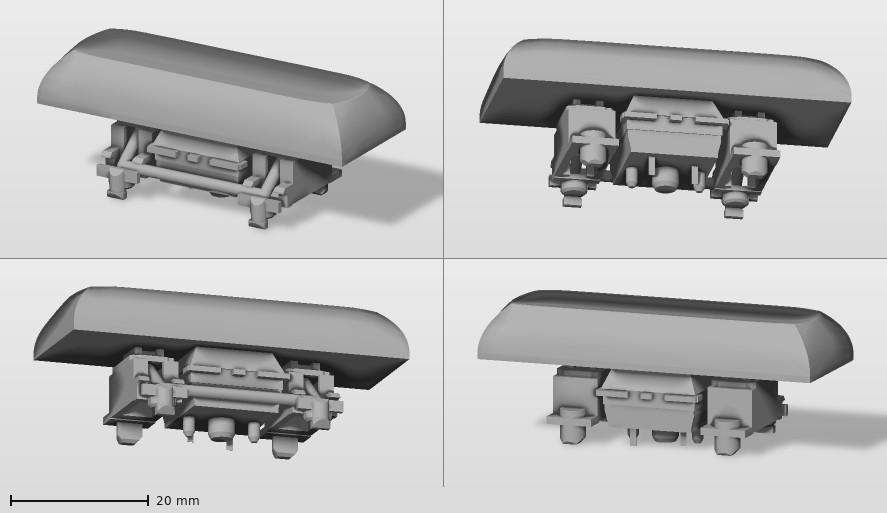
import cadquery as cq
import math


CAP_LENGTH = 51.45
CAP_WIDTH = 18.15
OVERALL_WIDTH = 20.0
RIM_HEIGHT = 1.0
CAP_HEIGHT = 7.85
DOME_HEIGHT = CAP_HEIGHT - RIM_HEIGHT
SIDE_RADIUS = 9.8
STRAIGHT_HALF = 16.65
CORNER_PULL = 1.15
DISH_SAG = 0.25
DISH_HALF_WIDTH = 5.95
TOP_EDGE_CHAMFER = 0.15
CAP_STEPS = 4

SKIRT_TOP = 11.65
SKIRT_BOTTOM = 14.6
SKIRT_DEPTH = 3.4
BODY_SIZE = 14.1
BODY_BOTTOM = -5.75
BASE_SIZE = 13.8
BASE_STRAIGHT_END = -6.7
BASE_TAPER_END = -8.55
SWITCH_BOTTOM = -9.15
BASE_FOOT_X = 12.85
BASE_FOOT_Y = 13.4
TAB_TOP = -3.55
TAB_HEIGHT = 0.75
TAB_REACH_X = 7.85
TAB_REACH_Y = 8.25
TAB_STEP_X = 7.65
TAB_STEP_Y = 7.8
CORNER_TAB_INNER_X = 2.9
CORNER_TAB_INNER_Y = 5.8
MIDDLE_TAB_WIDTH = 1.7

PIN_BOTTOM = -12.0
PIN_TIP_HEIGHT = 0.65
POST_DIAMETER = 3.85
POST_TIP_DIAMETER = 3.1
GUIDE_DIAMETER = 1.7
GUIDE_TIP_DIAMETER = 0.95
GUIDE_OFFSET = 5.0
CONTACT_WIDTH = 0.95
CONTACT_THICKNESS = 0.15
CONTACT_CENTRES = [(-3.8, 2.8), (3.05, 5.25)]

STAB_OFFSET = 11.95
HOUSING_WIDTH = 6.9
HOUSING_HALF_Y = 5.5
HOUSING_TOP = -2.45
HOUSING_BOTTOM = -9.0
SLAB_TOP = -1.65
SLAB_SIDE_Y = 3.85
SLAB_SHOULDER_X = 3.1
SLAB_SHOULDER_Y = 4.3
SLAB_STEP_X = 2.4
SLAB_NOSE_X = 2.05
SLAB_NOSE_Y = 4.65
SLIDER_WIDTH = 4.4
SLIDER_LENGTH = 5.55
SLIDER_SLOT = 2.35
BRIDGE_LENGTH = 4.1
BRIDGE_NECK_LENGTH = 2.05
BRIDGE_NECK_HEIGHT = 0.4
BRIDGE_HEIGHT = 1.25
WIRE_SLOT = 2.45
CAVITY_WIDTH = 4.55
CAVITY_FRONT = -4.75
CAVITY_BACK = 2.8
RELIEF_FRONT = -5.8
RELIEF_BACK = 4.8
RELIEF_DEPTH = 0.15

CLAW_INNER_X = 1.9
CLAW_TOP = -5.7
CLAW_TIP_Y = -8.35
CLAW_CHAMFER = 0.55

ARM_TOP = -8.25
CROSSBAR_TOP = -7.35
CROSSBAR_BACK_Y = -8.85
CROSSBAR_FRONT_Y = -9.65
TONGUE_BACK_Y = -7.55
TONGUE_BOTTOM = -10.1
TONGUE_FILLET = 0.3
FOOT_RADIUS = 1.9
FOOT_CENTRE_Y = -8.15
FOOT_BOTTOM = -10.45
FOOT_CHAMFER = 0.35

HOOK_BACK_Y = -9.05
HOOK_HALF_WIDTH = 1.25
HOOK_SIDE_Y = -9.6
HOOK_FRONT_Y = -10.5
HOOK_TOP = -7.25
HOOK_SLOPE_END = -8.15
HOOK_BOTTOM = -11.8
LIP_TOP = -10.7
LIP_HALF_WIDTH = 1.35
LIP_SIDE_Y = -10.2
LIP_FRONT_Y = CAP_WIDTH / 2 - OVERALL_WIDTH
LIP_TIP_Y = -10.0

LUG_RADIUS = 1.9
LUG_CENTRE_Y = 6.4
LUG_FLAT_Y = 6.05
LUG_TOP = -6.85
LUG_BOTTOM = -11.9
LUG_PLATE_TOP = -7.9
LUG_TAPER_TOP = -10.9
LUG_TIP_HALF_WIDTH = 1.05
LUG_END_CHAMFER = 0.45

WIRE_DIAMETER = 1.7
WIRE_Y = -7.9
WIRE_Z = -7.35
WIRE_LEG_END_Y = 0.0
WIRE_LEG_END_Z = -1.25


def block(x0, x1, y0, y1, z0, z1):
    """Axis-aligned box between opposite corners."""
    return cq.Workplane("XY").box(x1 - x0, y1 - y0, z1 - z0, centered=False).translate((x0, y0, z0))


def centred_block(size_x, size_y, z0, z1):
    """Box centred on the Z axis."""
    return block(-size_x / 2, size_x / 2, -size_y / 2, size_y / 2, z0, z1)


def side_profile(points, x0, x1):
    """Outline of (y, z) points extruded from x0 to x1."""
    return cq.Workplane("YZ").polyline(points).close().extrude(x1 - x0).translate((x0, 0, 0))


def frustum(x0, y0, z0, x1, y1, z1):
    """Rectangular frustum from size x0 by y0 at z0 to size x1 by y1 at z1."""
    lower = cq.Workplane("XY", origin=(0, 0, z0)).rect(x0, y0)
    return lower.workplane(offset=z1 - z0).rect(x1, y1).loft(ruled=True)


def mirrored(points):
    """Closed outline from its right-hand points, mirrored about the second axis."""
    return points + [(-u, v) for u, v in reversed(points)]


def fuse(parts):
    """Union of a list of bodies."""
    body = parts[0]
    for part in parts[1:]:
        body = body.union(part)
    return body


def cap_section(height):
    """Closed outline of the dome at a height above the rim; its corners draw in as it rises."""
    inset = SIDE_RADIUS - math.sqrt(SIDE_RADIUS**2 - height**2)
    pull = CORNER_PULL * (height / DOME_HEIGHT) ** 2
    half_x = CAP_LENGTH / 2 - inset
    half_y = CAP_WIDTH / 2 - inset
    corner_x = half_x - pull
    corner_y = half_y - pull
    slope = 2 * pull / (corner_x - STRAIGHT_HALF)
    outline = (
        cq.Workplane("XY", origin=(0, 0, RIM_HEIGHT + height))
        .moveTo(-STRAIGHT_HALF, -half_y)
        .lineTo(STRAIGHT_HALF, -half_y)
        .spline([(corner_x, -corner_y)], tangents=[(1, 0), (1, slope)], includeCurrent=True)
        .spline([(half_x, 0), (corner_x, corner_y)], includeCurrent=True)
        .spline([(STRAIGHT_HALF, half_y)], tangents=[(-1, slope), (-1, 0)], includeCurrent=True)
        .lineTo(-STRAIGHT_HALF, half_y)
        .spline([(-corner_x, corner_y)], tangents=[(-1, 0), (-1, -slope)], includeCurrent=True)
        .spline([(-half_x, 0), (-corner_x, -corner_y)], includeCurrent=True)
        .spline([(-STRAIGHT_HALF, -half_y)], tangents=[(1, -slope), (1, 0)], includeCurrent=True)
    )
    return outline.wire().val()


def make_cap():
    """Plain rim with a domed body and a shallow dish along the top."""
    sections = [cap_section(DOME_HEIGHT * i / CAP_STEPS) for i in range(CAP_STEPS + 1)]
    dome = cq.Workplane(obj=cq.Solid.makeLoft(sections))
    dish_radius = (DISH_HALF_WIDTH**2 + DISH_SAG**2) / (2 * DISH_SAG)
    dish = (
        cq.Workplane("YZ")
        .center(0, CAP_HEIGHT - DISH_SAG + dish_radius)
        .circle(dish_radius)
        .extrude(CAP_LENGTH / 2, both=True)
    )
    rim = centred_block(CAP_LENGTH, CAP_WIDTH, 0, RIM_HEIGHT)
    dished = dome.cut(dish)
    eased = dished.faces(cq.selectors.NearestToPointSelector((0, 0, CAP_HEIGHT))).chamfer(TOP_EDGE_CHAMFER)
    return rim.union(eased)


def make_tabs():
    """Thin plate tabs around the switch body: an L at each corner, one amid each long side."""
    bottom = TAB_TOP - TAB_HEIGHT
    tabs = centred_block(MIDDLE_TAB_WIDTH, 2 * TAB_REACH_Y, bottom, TAB_TOP)
    for side_x in (-1, 1):
        for side_y in (-1, 1):
            along_y = block(CORNER_TAB_INNER_X, TAB_REACH_X, CORNER_TAB_INNER_Y, TAB_STEP_Y, bottom, TAB_TOP)
            along_x = block(CORNER_TAB_INNER_X, TAB_STEP_X, CORNER_TAB_INNER_Y, TAB_REACH_Y, bottom, TAB_TOP)
            corner = along_x.union(along_y)
            if side_x < 0:
                corner = corner.mirror("YZ")
            if side_y < 0:
                corner = corner.mirror("XZ")
            tabs = tabs.union(corner)
    return tabs


def make_base():
    """Lower body: front and back taper to the bottom, the ends taper to a short upright foot."""
    half = BASE_SIZE / 2
    front_back = [
        (half, BODY_BOTTOM),
        (BASE_FOOT_Y / 2, SWITCH_BOTTOM),
    ]
    ends = [
        (half, BODY_BOTTOM),
        (half, BASE_STRAIGHT_END),
        (BASE_FOOT_X / 2, BASE_TAPER_END),
        (BASE_FOOT_X / 2, SWITCH_BOTTOM),
    ]
    along_x = side_profile(mirrored(front_back), -half, half)
    along_y = cq.Workplane("XZ").polyline(mirrored(ends)).close().extrude(half, both=True)
    return along_x.intersect(along_y)


def make_pin(diameter, tip_diameter, x):
    """Round pin under the switch with a tapered tip."""
    radius = diameter / 2
    taper_top = PIN_BOTTOM + PIN_TIP_HEIGHT
    profile = [
        (0, SWITCH_BOTTOM),
        (radius, SWITCH_BOTTOM),
        (radius, taper_top),
        (tip_diameter / 2, PIN_BOTTOM),
        (0, PIN_BOTTOM),
    ]
    return cq.Workplane("XZ").polyline(profile).close().revolve(360, (0, 0), (0, 1)).translate((x, 0, 0))


def make_switch():
    """Stack of the tapered skirt, body and base, with tabs, pins and contacts."""
    parts = [
        frustum(SKIRT_BOTTOM, SKIRT_BOTTOM, -SKIRT_DEPTH, SKIRT_TOP, SKIRT_TOP, 0),
        centred_block(BODY_SIZE, BODY_SIZE, BODY_BOTTOM, -SKIRT_DEPTH),
        make_base(),
        make_tabs(),
        make_pin(POST_DIAMETER, POST_TIP_DIAMETER, 0),
        make_pin(GUIDE_DIAMETER, GUIDE_TIP_DIAMETER, -GUIDE_OFFSET),
        make_pin(GUIDE_DIAMETER, GUIDE_TIP_DIAMETER, GUIDE_OFFSET),
    ]
    for x, y in CONTACT_CENTRES:
        contact = centred_block(CONTACT_WIDTH, CONTACT_THICKNESS, PIN_BOTTOM, SWITCH_BOTTOM)
        parts.append(contact.translate((x, y, 0)))
    return fuse(parts)


def make_slider():
    """Slotted column between the housing and the cap, with a bridge holding the wire's end."""
    column = centred_block(SLIDER_WIDTH, SLIDER_LENGTH, SLAB_TOP, 0)
    slot = centred_block(SLIDER_SLOT, SLIDER_LENGTH, SLAB_TOP, 0)
    neck = centred_block(SLIDER_SLOT, BRIDGE_NECK_LENGTH, -BRIDGE_NECK_HEIGHT, 0)
    bridge = centred_block(SLIDER_SLOT, BRIDGE_LENGTH, -BRIDGE_HEIGHT, -BRIDGE_NECK_HEIGHT)
    return fuse([column.cut(slot), neck, bridge])


def make_housing():
    """Main block with its top slab, front wire slot and open-bottomed cavity."""
    body = centred_block(HOUSING_WIDTH, 2 * HOUSING_HALF_Y, HOUSING_BOTTOM, HOUSING_TOP)
    half_x = HOUSING_WIDTH / 2
    slab_quarter = [
        (half_x, SLAB_SIDE_Y),
        (SLAB_SHOULDER_X, SLAB_SHOULDER_Y),
        (SLAB_STEP_X, SLAB_SHOULDER_Y),
        (SLAB_NOSE_X, SLAB_NOSE_Y),
    ]
    slab_back = mirrored(slab_quarter)
    slab_front = [(-x, -y) for x, y in slab_back]
    slab = (
        cq.Workplane("XY", origin=(0, 0, HOUSING_TOP))
        .polyline(slab_back + slab_front)
        .close()
        .extrude(SLAB_TOP - HOUSING_TOP)
    )
    half_slot = WIRE_SLOT / 2
    slot = block(-half_slot, half_slot, -HOUSING_HALF_Y, CAVITY_BACK, HOUSING_BOTTOM, HOUSING_TOP)
    half_cavity = CAVITY_WIDTH / 2
    cavity = block(-half_cavity, half_cavity, CAVITY_FRONT, CAVITY_BACK, HOUSING_BOTTOM, HOUSING_TOP)
    return body.cut(slot).cut(cavity).union(slab)


def make_claw():
    """Claw at the right-hand side of the wire slot, curling over the wire."""
    wire_radius = WIRE_DIAMETER / 2
    wire_back = WIRE_Y + wire_radius
    claw = (
        cq.Workplane("YZ")
        .moveTo(-HOUSING_HALF_Y, CLAW_TOP)
        .lineTo(CLAW_TIP_Y + CLAW_CHAMFER, CLAW_TOP)
        .lineTo(CLAW_TIP_Y, CLAW_TOP - CLAW_CHAMFER)
        .lineTo(CLAW_TIP_Y, WIRE_Z + wire_radius)
        .lineTo(WIRE_Y, WIRE_Z + wire_radius)
        .radiusArc((wire_back, WIRE_Z), wire_radius)
        .lineTo(wire_back, HOUSING_BOTTOM)
        .lineTo(-HOUSING_HALF_Y, HOUSING_BOTTOM)
        .close()
        .extrude(HOUSING_WIDTH / 2 - CLAW_INNER_X)
    )
    return claw.translate((CLAW_INNER_X, 0, 0))


def make_foot():
    """Arm under the wire with its rounded foot, rounded tongues and upright crossbar."""
    half_x = HOUSING_WIDTH / 2
    arm = block(-FOOT_RADIUS, FOOT_RADIUS, CROSSBAR_BACK_Y, RELIEF_FRONT, HOUSING_BOTTOM, ARM_TOP)
    crossbar = block(-half_x, half_x, CROSSBAR_FRONT_Y, CROSSBAR_BACK_Y, HOUSING_BOTTOM, CROSSBAR_TOP)
    tongue = block(-FOOT_RADIUS, FOOT_RADIUS, CROSSBAR_BACK_Y, TONGUE_BACK_Y, TONGUE_BOTTOM, HOUSING_BOTTOM)
    tongue = tongue.edges("|X and <Z").fillet(TONGUE_FILLET)
    foot = (
        cq.Workplane("XY", origin=(0, FOOT_CENTRE_Y, FOOT_BOTTOM))
        .circle(FOOT_RADIUS)
        .extrude(ARM_TOP - FOOT_BOTTOM)
        .faces("<Z")
        .chamfer(FOOT_CHAMFER)
    )
    foot_keep = block(-half_x, half_x, CROSSBAR_FRONT_Y, -HOUSING_HALF_Y, FOOT_BOTTOM, ARM_TOP)
    return fuse([arm, crossbar, tongue, foot.intersect(foot_keep)])


def bowed_plate(half_width, back_y, side_y, front_y, z0, z1):
    """Upright plate whose front face bows out from side_y at its edges to front_y in the middle."""
    return (
        cq.Workplane("XY", origin=(0, 0, z0))
        .moveTo(-half_width, back_y)
        .lineTo(-half_width, side_y)
        .threePointArc((0, front_y), (half_width, side_y))
        .lineTo(half_width, back_y)
        .close()
        .extrude(z1 - z0)
    )


def make_hook():
    """Snap hook at the front: bowed post with a sloped top and a wedge-shaped lip."""
    post = bowed_plate(HOOK_HALF_WIDTH, HOOK_BACK_Y, HOOK_SIDE_Y, HOOK_FRONT_Y, HOOK_BOTTOM, HOOK_TOP)
    lip = bowed_plate(LIP_HALF_WIDTH, HOOK_BACK_Y, LIP_SIDE_Y, LIP_FRONT_Y, HOOK_BOTTOM, LIP_TOP)
    side_outline = [
        (HOOK_BACK_Y, HOOK_TOP),
        (CROSSBAR_FRONT_Y, HOOK_TOP),
        (HOOK_FRONT_Y, HOOK_SLOPE_END),
        (HOOK_FRONT_Y, LIP_TOP),
        (LIP_FRONT_Y, LIP_TOP),
        (LIP_TIP_Y, HOOK_BOTTOM),
        (HOOK_BACK_Y, HOOK_BOTTOM),
    ]
    return post.union(lip).intersect(side_profile(side_outline, -LIP_HALF_WIDTH, LIP_HALF_WIDTH))


def make_lug():
    """Rear half-round lug with a tapered end, and the plate that carries it."""
    rear_y = LUG_CENTRE_Y + LUG_RADIUS
    lug = (
        cq.Workplane("XY", origin=(0, LUG_CENTRE_Y, LUG_BOTTOM))
        .circle(LUG_RADIUS)
        .extrude(LUG_TOP - LUG_BOTTOM)
    )
    half_outline = [
        (LUG_RADIUS, LUG_TOP),
        (LUG_RADIUS, LUG_TAPER_TOP),
        (LUG_TIP_HALF_WIDTH, LUG_BOTTOM),
    ]
    taper = (
        cq.Workplane("XZ", origin=(0, rear_y, 0))
        .polyline(mirrored(half_outline))
        .close()
        .extrude(rear_y - LUG_FLAT_Y)
        .edges("|X and <Z")
        .chamfer(LUG_END_CHAMFER)
    )
    half_x = HOUSING_WIDTH / 2
    plate = block(-half_x, half_x, HOUSING_HALF_Y, rear_y, HOUSING_BOTTOM, LUG_PLATE_TOP)
    return plate.union(lug.intersect(taper))


def make_stabilizer():
    """One complete stabilizer without the wire."""
    claw = make_claw()
    claws = claw.union(claw.mirror("YZ"))
    stabilizer = fuse([make_housing(), claws, make_lug(), make_slider()])
    half_x = HOUSING_WIDTH / 2
    relief_top = HOUSING_BOTTOM + RELIEF_DEPTH
    relief = block(-half_x, half_x, RELIEF_FRONT, RELIEF_BACK, HOUSING_BOTTOM, relief_top)
    return fuse([stabilizer.cut(relief), make_foot(), make_hook()])


def make_wire():
    """Round wire: a bar along X with rounded elbows and a leg rising into each stabilizer."""
    radius = WIRE_DIAMETER / 2
    wire = cq.Workplane("YZ").center(WIRE_Y, WIRE_Z).circle(radius).extrude(STAB_OFFSET, both=True)
    leg_direction = cq.Vector(0, WIRE_LEG_END_Y - WIRE_Y, WIRE_LEG_END_Z - WIRE_Z)
    for x in (-STAB_OFFSET, STAB_OFFSET):
        corner = cq.Vector(x, WIRE_Y, WIRE_Z)
        leg = cq.Solid.makeCylinder(radius, leg_direction.Length, corner, leg_direction)
        elbow = cq.Workplane("XY").sphere(radius).translate(corner)
        wire = wire.union(cq.Workplane(obj=leg)).union(elbow)
    return wire


stabilizer = make_stabilizer()
result = fuse([
    make_cap(),
    make_switch(),
    stabilizer.translate((-STAB_OFFSET, 0, 0)),
    stabilizer.translate((STAB_OFFSET, 0, 0)),
    make_wire(),
])